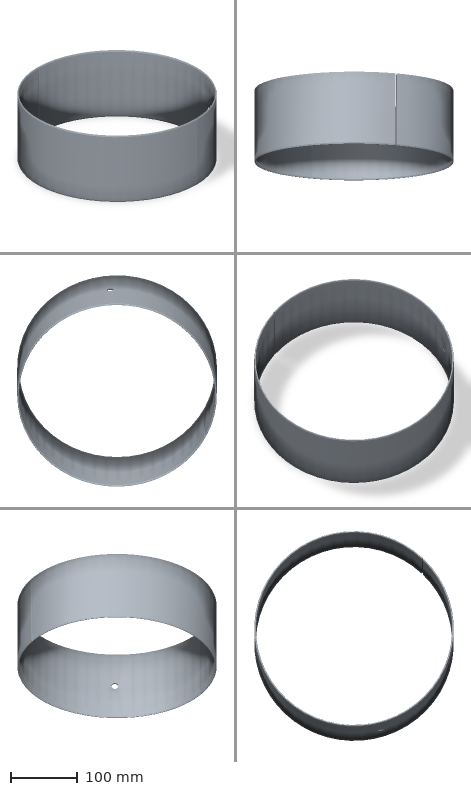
import cadquery as cq
import math

outer_diameter = 300.0
outer_radius = outer_diameter / 2
wall = 2.5
inner_radius = outer_radius - wall
height = 110.0

bevel_depth = 0.75
bevel_height = 2.0

slit_width = 2.5
slit_center_y = slit_width / 2
slit_cutter_length = 4 * wall

hole_diameter = 10.0
hole_angle = 59.0


def ring():
    """Revolve the bevelled wall section about the Z axis, standing on Z = 0."""
    section = [
        (inner_radius, bevel_height),
        (inner_radius + bevel_depth, 0),
        (outer_radius - bevel_depth, 0),
        (outer_radius, bevel_height),
        (outer_radius, height - bevel_height),
        (outer_radius - bevel_depth, height),
        (inner_radius + bevel_depth, height),
        (inner_radius, height - bevel_height),
    ]
    return cq.Workplane("XZ").polyline(section).close().revolve(360, (0, 0, 0), (0, 1, 0))


def slit_cutter():
    """Narrow box that opens the ring over its whole height."""
    return (
        cq.Workplane("XY")
        .center(-outer_radius, slit_center_y)
        .rect(slit_cutter_length, slit_width)
        .extrude(height)
    )


def hole_cutter():
    """Cylinder running radially outward from the ring axis through one wall."""
    angle = math.radians(hole_angle)
    outward = cq.Vector(math.cos(angle), math.sin(angle), 0)
    center = cq.Vector(0, 0, height / 2)
    return cq.Solid.makeCylinder(hole_diameter / 2, outer_diameter, center, outward)


result = ring().cut(slit_cutter()).cut(hole_cutter())